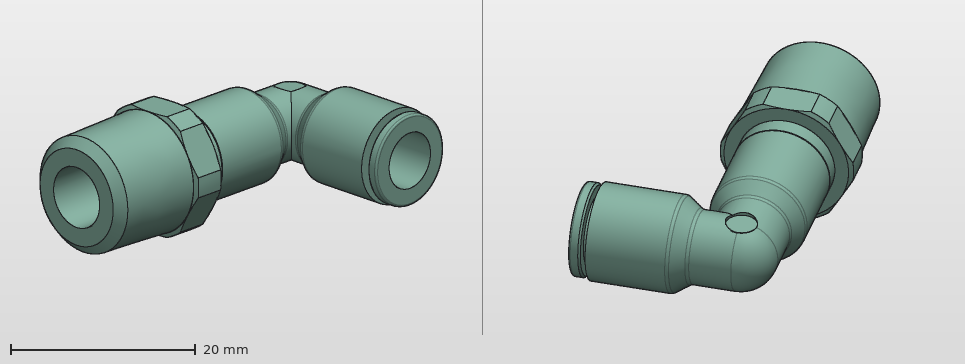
import cadquery as cq


tube_radius = 4.15
bore_radius = 3.2
stem_bore_radius = 3.48
body_radius = 5.45
flare_start = 4.95
flare_end = 6.85
flare_fillet = 0.7

arm_body_end = 16.0
collar_radius = 3.8
ring_radius = 5.2
ring_start = 16.65
arm_end = 17.98
ring_edge = 0.25

overall_length = 38.65
stem_length = overall_length - body_radius
groove_start = 16.15
groove_width = 0.1
groove_radius = 4.9

hex_start = 18.2
hex_end = 22.23
hex_across_flats = 14.0
hex_corner_radius = 7.5
hex_chamfer_height = 0.27
hex_turn = 30

thread_start_radius = 6.95
thread_taper = 1 / 32
thread_chamfer = 1.12

badge_radius = 1.75
badge_floor = 3.75
badge_offset = 0.15


def revolve_profile(points):
    """Revolve (distance, radius) points around the X axis."""
    return cq.Workplane("XY").polyline(points).close().revolve(360, (0, 0, 0), (1, 0, 0))


def to_stem(solid):
    """Turn a solid built along +X so that it runs along -Y."""
    return solid.rotate((0, 0, 0), (0, 0, 1), -90)


def flared_body(body_end):
    """Tube that widens through a blended cone into a socket body."""
    body = revolve_profile([
        (0, 0),
        (0, tube_radius),
        (flare_start, tube_radius),
        (flare_end, body_radius),
        (body_end, body_radius),
        (body_end, 0),
    ])
    return body.faces("%CONE").edges().fillet(flare_fillet)


def cylinder_x(start, end, radius):
    return cq.Workplane("YZ", origin=(start, 0, 0)).circle(radius).extrude(end - start)


def make_arm():
    collar = cylinder_x(arm_body_end, ring_start, collar_radius)
    ring = cylinder_x(ring_start, arm_end, ring_radius)
    ring = ring.faces("<X").chamfer(ring_edge).faces(">X").edges().fillet(ring_edge)
    return flared_body(arm_body_end).union(collar).union(ring)


def make_hexagon():
    """Hexagon with rounded corners and turned chamfers, flats facing +Z and -Z."""
    flat_radius = hex_across_flats / 2
    prism = (
        cq.Workplane("YZ", origin=(hex_start, 0, 0))
        .polygon(6, hex_across_flats, circumscribed=True)
        .extrude(hex_end - hex_start)
        .rotate((0, 0, 0), (1, 0, 0), hex_turn)
    )
    turned_blank = revolve_profile([
        (hex_start, 0),
        (hex_start, flat_radius),
        (hex_start + hex_chamfer_height, hex_corner_radius),
        (hex_end - hex_chamfer_height, hex_corner_radius),
        (hex_end, flat_radius),
        (hex_end, 0),
    ])
    return prism.intersect(turned_blank)


def make_thread():
    chamfer_start = stem_length - thread_chamfer
    end_radius = thread_start_radius - (chamfer_start - hex_end) * thread_taper
    return revolve_profile([
        (hex_end, 0),
        (hex_end, thread_start_radius),
        (chamfer_start, end_radius),
        (stem_length, end_radius - thread_chamfer),
        (stem_length, 0),
    ])


def make_stem():
    groove_end = groove_start + groove_width
    body = flared_body(groove_start)
    groove_floor = cylinder_x(groove_start, groove_end, groove_radius)
    neck = cylinder_x(groove_end, hex_start, body_radius)
    stem = body.union(groove_floor).union(neck).union(make_hexagon()).union(make_thread())
    return to_stem(stem)


def make_bore():
    """Passage of both legs, rounded at the elbow and wider through the threaded part of the stem."""
    arm_bore = cylinder_x(0, arm_end, bore_radius)
    stem_bore = cylinder_x(0, groove_start, bore_radius)
    wide_bore = cylinder_x(groove_start, stem_length, stem_bore_radius)
    elbow_bore = cq.Workplane("XY").sphere(bore_radius)
    return elbow_bore.union(arm_bore).union(to_stem(stem_bore.union(wide_bore)))


def make_badge_recess():
    recess = cq.Workplane("XY", origin=(0, -badge_offset, badge_floor))
    return recess.circle(badge_radius).extrude(tube_radius - badge_floor)


elbow = cq.Workplane("XY").sphere(tube_radius)
result = elbow.union(make_arm()).union(make_stem()).cut(make_bore()).cut(make_badge_recess())